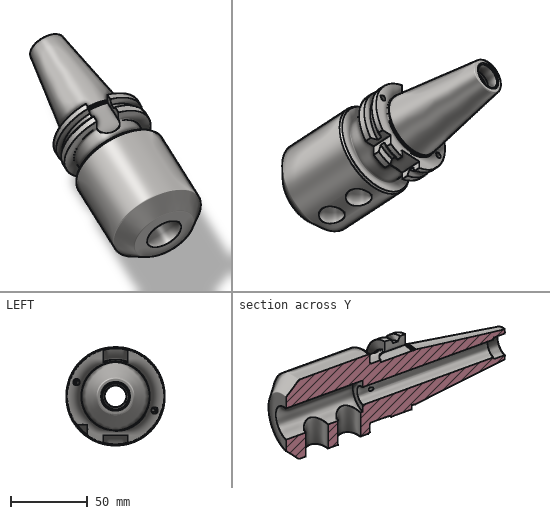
import cadquery as cq
import math

total_length = 168.4

taper_end_x = 69
taper_end_radius = 22.4
taper_rate = 7 / 24
taper_start_radius = taper_end_radius - taper_end_x * taper_rate / 2
shank_edge_round = 1.0
relief_radius = 22.0
relief_slope_length = 0.8
relief_fillet = 0.7

flange_start_x = 71.7
flange_end_x = 87.5
flange_radius = 63.5 / 2
groove_floor_radius = 28.1
groove_left_x = 75.8
groove_right_x = 82.9
groove_floor_left_x = 77.6
groove_floor_right_x = 81.0

neck_radius = 48.0 / 2
neck_fillet = 1.0
body_start_x = 103.7
body_radius = 64.5 / 2
body_chamfer_length = 1.5
body_chamfer_depth = 1.0
nose_start_x = 158.5
nose_end_radius = 21.9
nose_round = 1.0

through_radius = 14.0 / 2
pilot_radius = 17.0 / 2
pilot_depth = 8.5
pilot_chamfer_height = 1.0
pilot_chamfer_length = 0.5
pilot_bottom_length = 0.8
tool_bore_radius = 25.0 / 2
tool_bore_depth = 59

slot_width = 15.8
top_slot_floor_z = 22.2
bottom_slot_floor_z = -25.3
notch_y = 18.4
notch_z = -18.5
coolant_hole_diameter = 4.2
coolant_hole_offset = 27.1
coolant_hole_tilt = 20
coolant_hole_end_x = 80.2
coolant_branch_diameter = 2.5
coolant_branch_start_x = 78.8

screw_hole_diameter = 17.0
screw_first_x = 119.7
screw_spacing = 25.0


def round_edge(solid, x, radius, fillet_size):
    """Fillet the circular edge of the given radius about the X axis at position x."""
    margin = 0.08
    reach = radius + margin
    edge = cq.selectors.BoxSelector(
        (x - margin, -reach, -reach), (x + margin, reach, reach), boundingbox=True
    )
    return solid.edges("%CIRCLE").edges(edge).fillet(fillet_size)


def make_body():
    """Revolve the outer profile about the X axis and round its edges."""
    profile = [
        (0, 0),
        (0, taper_start_radius),
        (taper_end_x, taper_end_radius),
        (taper_end_x + relief_slope_length, relief_radius),
        (flange_start_x, relief_radius),
        (flange_start_x, flange_radius),
        (groove_left_x, flange_radius),
        (groove_floor_left_x, groove_floor_radius),
        (groove_floor_right_x, groove_floor_radius),
        (groove_right_x, flange_radius),
        (flange_end_x, flange_radius),
        (flange_end_x, neck_radius),
        (body_start_x, neck_radius),
        (body_start_x, body_radius - body_chamfer_depth),
        (body_start_x + body_chamfer_length, body_radius),
        (nose_start_x, body_radius),
        (total_length, nose_end_radius),
        (total_length, 0),
    ]
    body = cq.Workplane("XY").polyline(profile).close().revolve(360, (0, 0, 0), (1, 0, 0))

    body = round_edge(body, 0, taper_start_radius, shank_edge_round)
    body = round_edge(body, flange_start_x, relief_radius, relief_fillet)
    body = round_edge(body, flange_end_x, neck_radius, neck_fillet)
    body = round_edge(body, body_start_x, neck_radius, neck_fillet)
    body = round_edge(body, nose_start_x, body_radius, nose_round)
    return round_edge(body, total_length, nose_end_radius, nose_round)


def make_bores():
    """Stepped bore: chamfered pilot, through hole and tool bore."""
    tool_bore_x = total_length - tool_bore_depth
    profile = [
        (0, 0),
        (0, pilot_radius + pilot_chamfer_height),
        (pilot_chamfer_length, pilot_radius),
        (pilot_depth, pilot_radius),
        (pilot_depth + pilot_bottom_length, through_radius),
        (tool_bore_x, through_radius),
        (tool_bore_x, tool_bore_radius),
        (total_length, tool_bore_radius),
        (total_length, 0),
    ]
    return cq.Workplane("XY").polyline(profile).close().revolve(360, (0, 0, 0), (1, 0, 0))


def block(x_range, y_range, z_range):
    """Box spanning the given ranges."""
    spans = [high - low for low, high in (x_range, y_range, z_range)]
    corner = (x_range[0], y_range[0], z_range[0])
    return cq.Workplane("XY").box(*spans, centered=False).translate(corner)


def make_drive_slots():
    """Top slot with a rounded end running into the neck, and a shallower bottom slot."""
    half_width = slot_width / 2
    flange_span = (flange_start_x, flange_end_x)
    width_span = (-half_width, half_width)
    top = block(flange_span, width_span, (top_slot_floor_z, body_radius))
    rounded_end = (
        cq.Workplane("XY", origin=(flange_end_x, 0, top_slot_floor_z))
        .circle(half_width)
        .extrude(body_radius - top_slot_floor_z)
    )
    bottom = block(flange_span, width_span, (-body_radius, bottom_slot_floor_z))
    return top.union(rounded_end).union(bottom)


def make_notch():
    """Square orientation notch through the flange rim."""
    return block(
        (flange_start_x, flange_end_x), (notch_y, body_radius), (-body_radius, notch_z)
    )


def make_coolant_holes():
    """Two opposite axial holes across the groove, each with a 45 degree branch to the central bore."""
    tilt = math.radians(coolant_hole_tilt)
    holes = cq.Workplane("XY")
    for side in (1, -1):
        y = side * coolant_hole_offset * math.cos(tilt)
        z = side * coolant_hole_offset * math.sin(tilt)
        axial_hole = cq.Solid.makeCylinder(
            coolant_hole_diameter / 2,
            coolant_hole_end_x - flange_start_x,
            cq.Vector(flange_start_x, y, z),
            cq.Vector(1, 0, 0),
        )
        branch = cq.Solid.makeCylinder(
            coolant_branch_diameter / 2,
            coolant_hole_offset * math.sqrt(2),
            cq.Vector(coolant_branch_start_x, y, z),
            cq.Vector(coolant_hole_offset, -y, -z),
        )
        holes = holes.add(axial_hole).add(branch)
    return holes.combine()


def make_screw_holes():
    """Two clamping screw holes from the underside into the tool bore."""
    return (
        cq.Workplane("XY")
        .pushPoints([(screw_first_x, 0), (screw_first_x + screw_spacing, 0)])
        .circle(screw_hole_diameter / 2)
        .extrude(-body_radius)
    )


result = (
    make_body()
    .cut(make_bores())
    .cut(make_drive_slots())
    .cut(make_notch())
    .cut(make_coolant_holes())
    .cut(make_screw_holes())
)